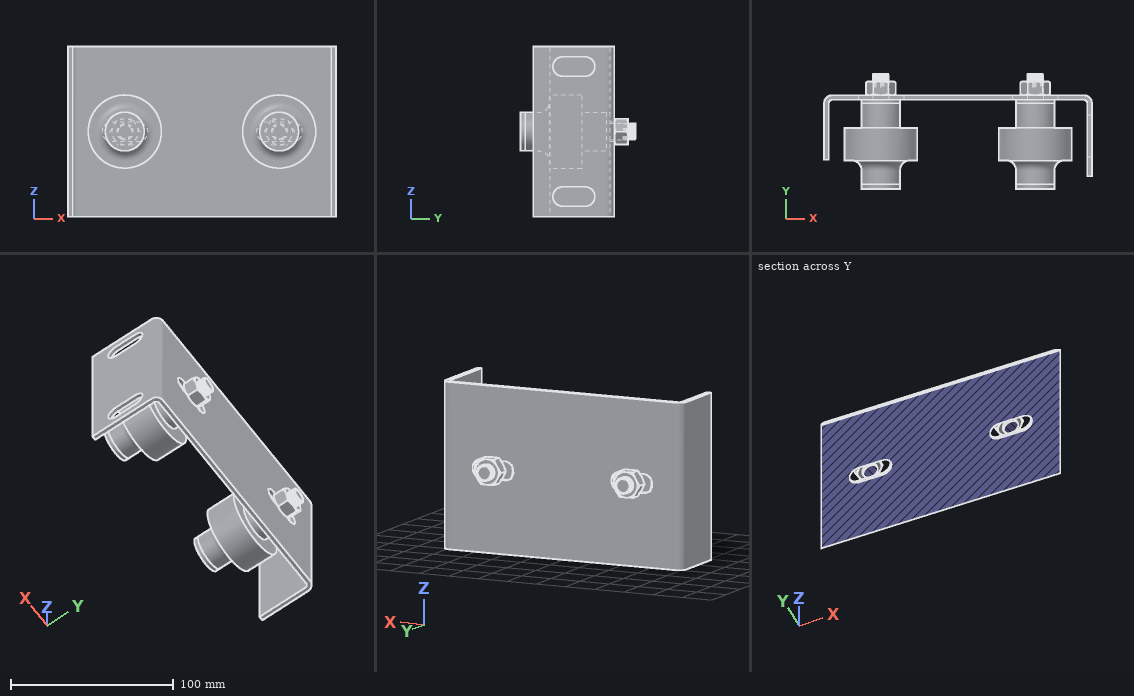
import cadquery as cq
import math


WIDTH = 165.0
HEIGHT = 105.0
SHEET = 3.0
LONG_FLANGE = 50.0
SHORT_FLANGE = 40.0
OUTER_BEND = 5.1
INNER_BEND = OUTER_BEND - SHEET

FLANGE_SLOT_LENGTH = 25.9
FLANGE_SLOT_WIDTH = 11.9
FLANGE_SLOT_SPACING = 80.0

WEB_SLOT_LENGTH = 28.0
WEB_SLOT_WIDTH = 12.0

BUFFER_SPACING = 95.0
BUFFER_X = (-BUFFER_SPACING / 2, BUFFER_SPACING / 2)
CORE_DIAMETER = 24.0
COLLAR_DIAMETER = 45.0
COLLAR_FILLET = 6.0
STUD_PLATE_THICKNESS = 2.0
END_PLATE_THICKNESS = 3.0

STUD_PLATE_FRONT = SHEET + STUD_PLATE_THICKNESS
COLLAR_BACK = 20.1
COLLAR_FRONT = 40.3
BUFFER_END = 57.9
END_PLATE_BACK = BUFFER_END - END_PLATE_THICKNESS

STUD_LENGTH = 13.0
THREAD_DIAMETER = 10.0
THREAD_PITCH = 1.5
THREAD_DEPTH = 0.8
THREAD_MOUTH = 1.34
THREAD_START_ANGLE = 90
GROOVE_OVERSHOOT = 0.08
NUT_HEIGHT = 8.4
NUT_ACROSS_FLATS = 16.0
NUT_ACROSS_CORNERS = NUT_ACROSS_FLATS / math.cos(math.pi / 6)
NUT_CHAMFER_ANGLE = math.radians(30)


def cylinder(diameter, y_start, y_end):
    """Round bar along Y, from y_start up to y_end."""
    plane = cq.Workplane("XZ", origin=(0, y_start, 0))
    return plane.circle(diameter / 2).extrude(y_start - y_end)


def make_bracket():
    """Bent sheet channel with one long and one short flange."""
    left = -WIDTH / 2
    right = WIDTH / 2
    bracket = (
        cq.Workplane("XY", origin=(0, 0, -HEIGHT / 2))
        .moveTo(left, 0)
        .lineTo(right, 0)
        .lineTo(right, -LONG_FLANGE)
        .lineTo(right - SHEET, -LONG_FLANGE)
        .lineTo(right - SHEET, -SHEET)
        .lineTo(left + SHEET, -SHEET)
        .lineTo(left + SHEET, -SHORT_FLANGE)
        .lineTo(left, -SHORT_FLANGE)
        .close()
        .extrude(HEIGHT)
    )
    inner_corners = cq.selectors.BoxSelector((left, -1.5 * SHEET, -HEIGHT), (right, -SHEET / 2, HEIGHT))
    bracket = bracket.edges("|Z").edges(inner_corners).fillet(INNER_BEND)
    bracket = bracket.edges("|Z and >Y").fillet(OUTER_BEND)

    flange_slots = (
        cq.Workplane("YZ", origin=(right - SHEET, 0, 0))
        .pushPoints([(-LONG_FLANGE / 2, side * FLANGE_SLOT_SPACING / 2) for side in (-1, 1)])
        .slot2D(FLANGE_SLOT_LENGTH, FLANGE_SLOT_WIDTH)
        .extrude(SHEET)
    )
    web_slots = (
        cq.Workplane("XZ")
        .pushPoints([(x, 0) for x in BUFFER_X])
        .slot2D(WEB_SLOT_LENGTH, WEB_SLOT_WIDTH)
        .extrude(SHEET)
    )
    return bracket.cut(flange_slots).cut(web_slots)


def make_thread_groove():
    """Helical V-groove that runs off the tip of the stud and ends inside the nut."""
    radius = THREAD_DIAMETER / 2
    turns = math.ceil((STUD_LENGTH - NUT_HEIGHT) / THREAD_PITCH) + 2
    half_mouth = THREAD_MOUTH / 2
    root = radius - THREAD_DEPTH
    helix = cq.Wire.makeHelix(THREAD_PITCH, turns * THREAD_PITCH, root)
    groove = (
        cq.Workplane("XZ")
        .moveTo(root, 0)
        .lineTo(radius + GROOVE_OVERSHOOT, half_mouth)
        .lineTo(radius + GROOVE_OVERSHOOT, -half_mouth)
        .close()
        .sweep(cq.Workplane(helix), isFrenet=True)
    )
    groove_start = STUD_LENGTH + THREAD_PITCH - turns * THREAD_PITCH
    groove = groove.rotate((0, 0, 0), (1, 0, 0), -90)
    groove = groove.rotate((0, 0, 0), (0, 1, 0), THREAD_START_ANGLE)
    return groove.translate((0, groove_start, 0))


def make_stud():
    """Round plate against the web, with a threaded stud that passes through it."""
    plate = cylinder(CORE_DIAMETER, -STUD_PLATE_FRONT, -SHEET)
    rod = cylinder(THREAD_DIAMETER, -SHEET, STUD_LENGTH)
    return plate.union(rod.cut(make_thread_groove()))


def make_buffer():
    """Solid of revolution: a core with a collar, blended into the core on the front side."""
    core_radius = CORE_DIAMETER / 2
    collar_radius = COLLAR_DIAMETER / 2
    fillet_end = COLLAR_FRONT + COLLAR_FILLET
    return (
        cq.Workplane("XY")
        .moveTo(0, -STUD_PLATE_FRONT)
        .lineTo(core_radius, -STUD_PLATE_FRONT)
        .lineTo(core_radius, -COLLAR_BACK)
        .lineTo(collar_radius, -COLLAR_BACK)
        .lineTo(collar_radius, -COLLAR_FRONT)
        .lineTo(core_radius + COLLAR_FILLET, -COLLAR_FRONT)
        .radiusArc((core_radius, -fillet_end), -COLLAR_FILLET)
        .lineTo(core_radius, -END_PLATE_BACK)
        .lineTo(0, -END_PLATE_BACK)
        .close()
        .revolve(360, (0, 0), (0, 1))
    )


def make_end_plate():
    """Round plate on the free end of the buffer."""
    return cylinder(CORE_DIAMETER, -BUFFER_END, -END_PLATE_BACK)


def make_nut():
    """Hexagon nut with corners along X, chamfered at both ends."""
    flat_radius = NUT_ACROSS_FLATS / 2
    corner_radius = NUT_ACROSS_CORNERS / 2
    chamfer_height = (corner_radius - flat_radius) * math.tan(NUT_CHAMFER_ANGLE)
    hexagon = cq.Workplane("XZ").polygon(6, NUT_ACROSS_CORNERS).extrude(-NUT_HEIGHT)
    chamfered_blank = (
        cylinder(NUT_ACROSS_CORNERS, 0, NUT_HEIGHT)
        .faces("<Y or >Y")
        .edges()
        .chamfer(chamfer_height, corner_radius - flat_radius)
    )
    bore = cylinder(THREAD_DIAMETER, 0, NUT_HEIGHT)
    return hexagon.intersect(chamfered_blank).cut(bore)


solids = make_bracket().solids().vals()
for buffer_x in BUFFER_X:
    for body in (make_stud(), make_buffer(), make_end_plate(), make_nut()):
        solids.extend(body.translate((buffer_x, 0, 0)).solids().vals())

result = cq.Compound.makeCompound(solids)